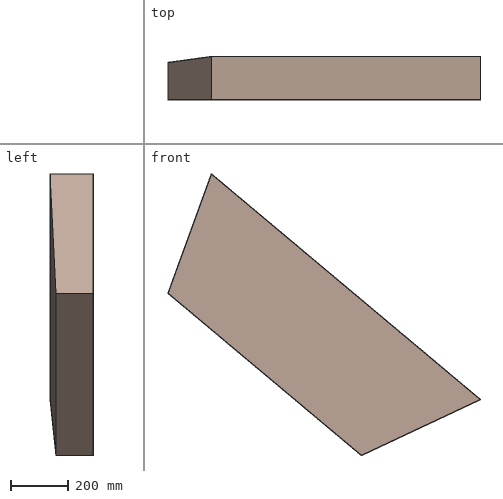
import cadquery as cq

LEFT = (0, 569.0)
PEAK = (152.0, 988.0)
TIP = (1097, 196.0)

UPPER_EDGE_RUN_PER_DROP = (TIP[0] - PEAK[0]) / (PEAK[1] - TIP[1])
FOOT = (LEFT[0] + LEFT[1] * UPPER_EDGE_RUN_PER_DROP, 0)

UPPER_THICKNESS = 152.0
LOWER_THICKNESS = 132


def corner(outline_point, y):
    x, z = outline_point
    return cq.Vector(x, y, z)


def flat_face(*corners):
    return cq.Face.makeFromWires(cq.Wire.makePolygon(corners, close=True))


outline = [LEFT, PEAK, TIP, FOOT]
thicknesses = [LOWER_THICKNESS, UPPER_THICKNESS, UPPER_THICKNESS, LOWER_THICKNESS]
front = [corner(point, 0) for point in outline]
back = [corner(point, thickness) for point, thickness in zip(outline, thicknesses)]

faces = [flat_face(*front), flat_face(*back)]
for start in range(len(outline)):
    end = (start + 1) % len(outline)
    faces.append(flat_face(front[start], front[end], back[end], back[start]))

result = cq.Workplane(cq.Solid.makeSolid(cq.Shell.makeShell(faces)))